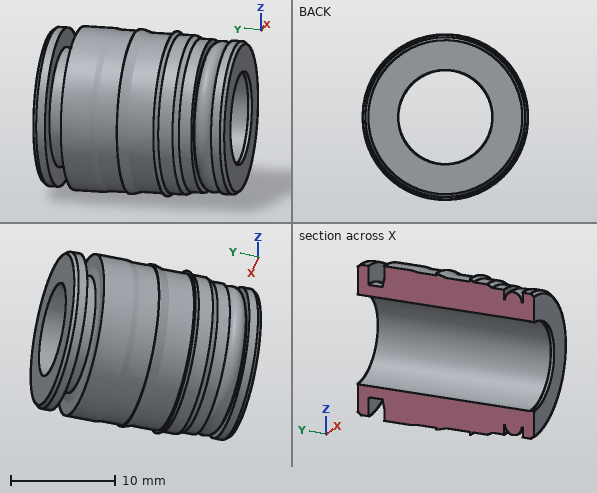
import cadquery as cq

LENGTH = 18.8

LIP_BORE_RADIUS = 4.51
BORE_RADIUS = 4.55
FRONT_RADIUS = 7.4
FRONT_FACE_RADIUS = 7.15
BODY_RADIUS = 7.69
BARB_RADIUS = 7.97
MIDDLE_BARB_RADIUS = 7.95
MIDDLE_RADIUS = 7.8
BAND_RADIUS = 7.91
SHOULDER_RADIUS = 6.67
NECK_RADIUS = 5.75
NECK_FLARE_RADIUS = 5.8
FLANGE_RADIUS = 7.69
FLANGE_FACE_RADIUS = 7.4

LIP_END = 0.38
FRONT_CHAMFER_END = 0.38
GROOVE_START = 1.25
GROOVE_END = 3.2
FRONT_CONE_START = 4.42
FRONT_CONE_END = 4.98
BARB_START = 6.4
BARB_TIP = 6.8
BARB_END = 6.88
MIDDLE_BARB_START = 9.36
MIDDLE_BARB_TIP = 10.23
MIDDLE_BARB_END = 10.43
BAND_CONE_START = 12.4
BAND_START = 13.0
BAND_END = 15.96
SHOULDER_END = 16.17
NECK_END = 17.37
FLANGE_START = 17.58
FLANGE_CHAMFER_START = 18.45

RING_SECTION_RADIUS = 0.9
RING_OUTER_RADIUS = 7.31
RING_CENTER_RADIUS = RING_OUTER_RADIUS - RING_SECTION_RADIUS
RING_CENTER_Y = (GROOVE_START + GROOVE_END) / 2
GROOVE_FLOOR_RADIUS = RING_CENTER_RADIUS


RING_START = RING_CENTER_Y - RING_SECTION_RADIUS
RING_END = RING_CENTER_Y + RING_SECTION_RADIUS

front_outline = [
    (LIP_BORE_RADIUS, LIP_END),
    (LIP_BORE_RADIUS, 0),
    (FRONT_FACE_RADIUS, 0),
    (FRONT_RADIUS, FRONT_CHAMFER_END),
    (FRONT_RADIUS, GROOVE_START),
    (GROOVE_FLOOR_RADIUS, GROOVE_START),
    (GROOVE_FLOOR_RADIUS, RING_START),
]

rear_outline = [
    (GROOVE_FLOOR_RADIUS, RING_END),
    (GROOVE_FLOOR_RADIUS, GROOVE_END),
    (FRONT_RADIUS, GROOVE_END),
    (FRONT_RADIUS, FRONT_CONE_START),
    (BODY_RADIUS, FRONT_CONE_END),
    (BODY_RADIUS, BARB_START),
    (BARB_RADIUS, BARB_TIP),
    (BODY_RADIUS, BARB_END),
    (BODY_RADIUS, MIDDLE_BARB_START),
    (MIDDLE_BARB_RADIUS, MIDDLE_BARB_TIP),
    (MIDDLE_BARB_RADIUS, MIDDLE_BARB_END),
    (MIDDLE_RADIUS, MIDDLE_BARB_END),
    (MIDDLE_RADIUS, BAND_CONE_START),
    (BAND_RADIUS, BAND_START),
    (BAND_RADIUS, BAND_END),
    (SHOULDER_RADIUS, BAND_END),
    (NECK_RADIUS, SHOULDER_END),
    (NECK_RADIUS, NECK_END),
    (NECK_FLARE_RADIUS, FLANGE_START),
    (FLANGE_RADIUS, FLANGE_START),
    (FLANGE_RADIUS, FLANGE_CHAMFER_START),
    (FLANGE_FACE_RADIUS, LENGTH),
    (BORE_RADIUS, LENGTH),
    (BORE_RADIUS, LIP_END),
]

half_section = (
    cq.Workplane("XY")
    .polyline(front_outline)
    .threePointArc((RING_OUTER_RADIUS, RING_CENTER_Y), rear_outline[0])
    .polyline(rear_outline[1:], includeCurrent=True)
    .close()
)

result = half_section.revolve(360, (0, 0, 0), (0, 1, 0))